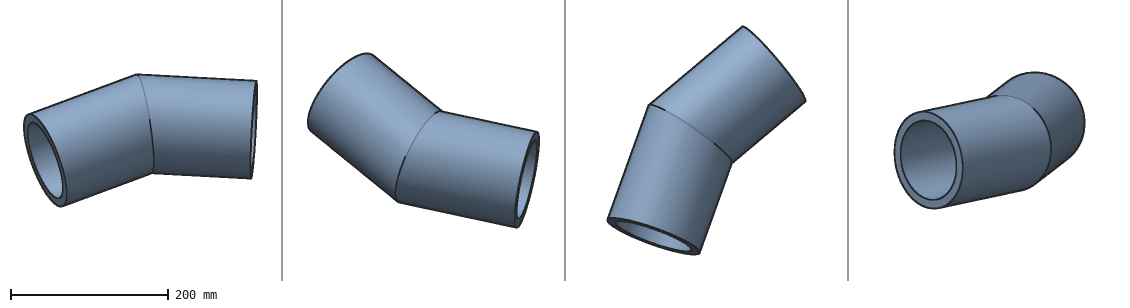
import cadquery as cq
import math

outer_diameter = 125.0
wall_thickness = 11.4
bend_angle = 30.0
leg_length = 139.87

inner_diameter = outer_diameter - 2 * wall_thickness


def bend_centreline():
    """Two-segment path in the XY plane, starting along +Y and turning toward +X."""
    angle = math.radians(bend_angle)
    mitre_point = (0, leg_length)
    end_point = (
        leg_length * math.sin(angle),
        leg_length + leg_length * math.cos(angle),
    )
    return cq.Workplane("XY").polyline([(0, 0), mitre_point, end_point])


def swept_rod(diameter):
    """Solid round bar following the centreline with a sharp mitred corner."""
    return (
        cq.Workplane("XZ")
        .circle(diameter / 2)
        .sweep(bend_centreline(), transition="right")
    )


result = swept_rod(outer_diameter).cut(swept_rod(inner_diameter))